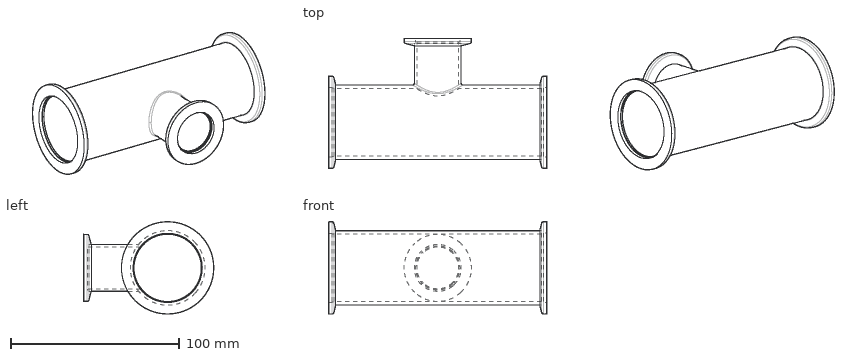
import cadquery as cq
import math

run_length = 130.0
overall_depth = 77.5

run_outer_dia = 44.5
run_inner_dia = 40.0
branch_outer_dia = 28.0
branch_inner_dia = 25.0
junction_fillet = 1.0

run_flange_dia = 55.0
run_flange_neck_dia = 45.2
run_flange_recess_dia = 41.2
run_flange_bore_dia = 40.5
run_flange_thickness = 4.3

branch_reach = overall_depth - run_flange_dia / 2

branch_flange_dia = 40.0
branch_flange_neck_dia = 28.1
branch_flange_recess_dia = 26.3
branch_flange_bore_dia = 25.0
branch_flange_thickness = 4.5

recess_depth = 2.2
socket_floor = 3.2
clamp_angle = 15.0
rim_radius = 1.2


def make_flange(outer_dia, neck_dia, recess_dia, bore_dia, socket_dia, thickness):
    """Flange about the Z axis with its sealing face at Z = 0 and its tube socket toward +Z."""
    outer_r = outer_dia / 2
    neck_r = neck_dia / 2
    recess_r = recess_dia / 2
    bore_r = bore_dia / 2
    socket_r = socket_dia / 2
    rim_height = thickness - (outer_r - neck_r) * math.tan(math.radians(clamp_angle))
    profile = (
        cq.Workplane("XZ")
        .moveTo(recess_r, 0)
        .lineTo(outer_r, 0)
        .lineTo(outer_r, rim_height)
        .lineTo(neck_r, thickness)
        .lineTo(socket_r, thickness)
        .lineTo(socket_r, socket_floor)
        .lineTo(bore_r, socket_floor)
        .lineTo(bore_r, recess_depth)
        .lineTo(recess_r, recess_depth)
        .close()
    )
    body = profile.revolve(360, (0, 0, 0), (0, 1, 0))
    edge_tolerance = 0.01
    rim_edge = cq.selectors.BoxSelector(
        (-outer_r - 1.3, -outer_r - 1.3, rim_height - edge_tolerance),
        (outer_r + 1.3, outer_r + 1.3, rim_height + edge_tolerance),
        boundingbox=True,
    )
    return body.edges(rim_edge).edges("%CIRCLE").fillet(rim_radius)


def make_tee_tube():
    """Run and branch tubes as one body, ending on the socket floors of the flanges."""
    tube_length = run_length - 2 * socket_floor
    branch_length = branch_reach - socket_floor
    branch_plane = cq.Workplane("XZ")
    run = cq.Workplane("YZ").circle(run_outer_dia / 2).extrude(tube_length / 2, both=True)
    branch = branch_plane.circle(branch_outer_dia / 2).extrude(-branch_length)
    tee = run.union(branch)

    junction = cq.selectors.BoxSelector(
        (-branch_outer_dia, 1.3, -branch_outer_dia),
        (branch_outer_dia, run_outer_dia / 2 + 1.3, branch_outer_dia),
        boundingbox=True,
    )
    tee = tee.edges(junction).fillet(junction_fillet)

    run_bore = cq.Workplane("YZ").circle(run_inner_dia / 2).extrude(tube_length / 2, both=True)
    branch_bore = branch_plane.circle(branch_inner_dia / 2).extrude(-branch_length)
    return tee.cut(run_bore).cut(branch_bore)


def make_run_flanges():
    """One flange on each end of the run, facing outward."""
    flanges = []
    for side in (-1, 1):
        flange = make_flange(
            run_flange_dia,
            run_flange_neck_dia,
            run_flange_recess_dia,
            run_flange_bore_dia,
            run_outer_dia,
            run_flange_thickness,
        )
        flange = flange.rotate((0, 0, 0), (0, 1, 0), -side * 90)
        flanges.append(flange.translate((side * run_length / 2, 0, 0)))
    return flanges


def make_branch_flange():
    """Flange on the branch end, facing +Y."""
    flange = make_flange(
        branch_flange_dia,
        branch_flange_neck_dia,
        branch_flange_recess_dia,
        branch_flange_bore_dia,
        branch_outer_dia,
        branch_flange_thickness,
    )
    return flange.rotate((0, 0, 0), (1, 0, 0), 90).translate((0, branch_reach, 0))


tee_tube = make_tee_tube()
run_flanges = make_run_flanges()
branch_flange = make_branch_flange()

result = cq.Compound.makeCompound(
    [tee_tube.val(), *[flange.val() for flange in run_flanges], branch_flange.val()]
)